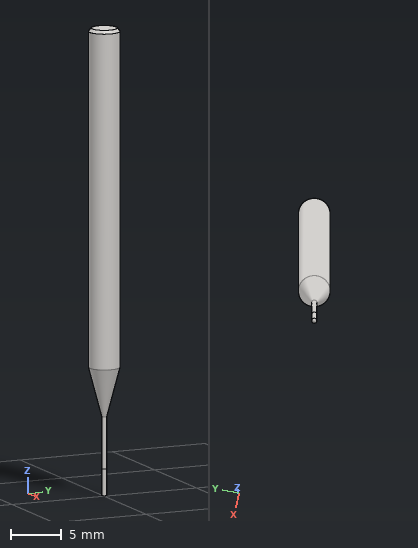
import cadquery as cq
import math

total_length = 47.1
shank_diameter = 3.15
tool_diameter = 0.5

cutter_top = 2.8
neck_top = 8.0
shank_bottom = 13.0

point_angle = 140.0
chamfer_width = 0.3
chamfer_height = 0.35

shank_radius = shank_diameter / 2
tool_radius = tool_diameter / 2
point_height = tool_radius / math.tan(math.radians(point_angle / 2))


def revolve_profile(points):
    """Revolve a closed (radius, height) outline about the Z axis."""
    return cq.Workplane("XZ").polyline(points).close().revolve(360, (0, 0), (0, 1))


def make_cutter():
    """Cylindrical cutting end with a conical drill point."""
    return revolve_profile([
        (0, 0),
        (tool_radius, point_height),
        (tool_radius, cutter_top),
        (0, cutter_top),
    ])


def make_shank():
    """Slim neck, taper and chamfered shank, standing on the cutter's flat top."""
    return revolve_profile([
        (0, cutter_top),
        (tool_radius, cutter_top),
        (tool_radius, neck_top),
        (shank_radius, shank_bottom),
        (shank_radius, total_length - chamfer_height),
        (shank_radius - chamfer_width, total_length),
        (0, total_length),
    ])


cutter = make_cutter()
shank = make_shank()
result = cq.Compound.makeCompound([cutter.val(), shank.val()])